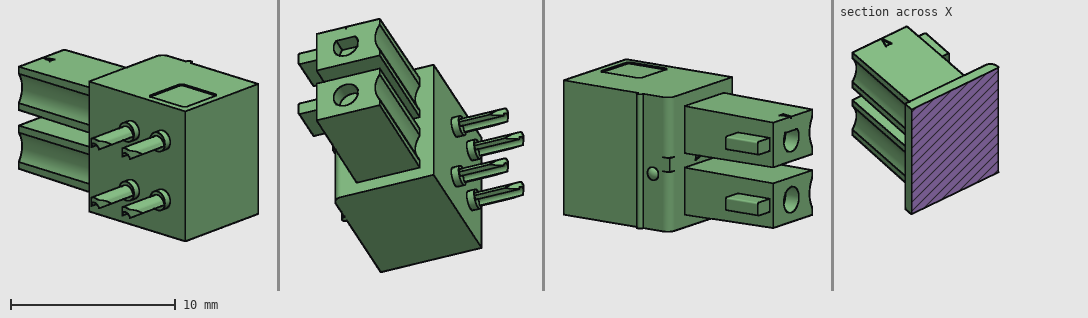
import cadquery as cq
import math


PITCH = 3.81
HOUSING_LENGTH = 7.9
HOUSING_DEPTH = 6.6
HOUSING_HEIGHT = PITCH + 4.6
FRONT_EDGE_RADIUS = 0.5
SQUARE_EDGE_HEIGHT = 0.88

RIB_X = 2.15
RIB_RADIUS = 0.2
BACK_PROJECTION = 0.25
DOME_X = 1.24
DOME_Z = -0.69
DOME_CHORD = 0.82

RECESS_SIZE = 3.0
RECESS_X = 5.9
RECESS_Y = 2.0
RECESS_CORNER = 0.25
ENGRAVING_DEPTH = 0.1

PLUG_LENGTH = 6.6
PLUG_Y_MIN = 0.9
PLUG_Y_MAX = 5.03
PLUG_TIP_INNER_Z = 0.5
PLUG_TIP_OUTER_Z = 3.3
INNER_DRAFT = 0.05
OUTER_DRAFT = 0.1
GROOVE_WIDTH = 1.9
GROOVE_DEPTH = 0.3
HOLE_DIAMETER = 1.6
HOLE_Y = 3.12
HOLE_DEPTH = 1.0
HOLE_FLAT_HEIGHT = 0.5

TAB_SETBACK = 0.24
TAB_LENGTH = 2.38
TAB_THICKNESS = 0.82
TAB_Y_MAX = 6.31
TAB_CORNER = 0.12

ARROW_LENGTH = 0.74
ARROW_WIDTH = 0.43

PINS_PER_ROW = 2
FIRST_PIN_X = 3.51
PIN_SPACING = 2.54
PIN_LENGTH = 3.4
COLLAR_DIAMETER = 1.22
COLLAR_LENGTH = 0.47
PIN_HALF_WIDTH = 0.56
PIN_CROWN_Z = 0.38
PIN_SHOULDER_HALF_WIDTH = 0.45
PIN_SHOULDER_Z = 0.12
PIN_FLANK_Z = -0.13
PIN_FOOT_Z = -0.27
PIN_FOOT_HALF_WIDTH = 0.31
PIN_INNER_CROWN_Z = 0.06
PIN_TAPER_LENGTH = 0.97
PIN_TIP_HALF_WIDTH = 0.3
PIN_TIP_RADIUS = 0.2

UPPER = 1
LOWER = -1
SIDES = (UPPER, LOWER)


def box(x_min, x_max, y_min, y_max, z_min, z_max):
    """Axis-aligned box between two opposite corners."""
    size = (x_max - x_min, y_max - y_min, z_max - z_min)
    return cq.Workplane("XY").box(*size, centered=False).translate((x_min, y_min, z_min))


def make_housing():
    """Block whose edge between the front and back (+Y) faces is rounded but for its middle."""
    half_height = HOUSING_HEIGHT / 2
    block = box(0, HOUSING_LENGTH, 0, HOUSING_DEPTH, -half_height, half_height)
    rounded = block.edges("<X and >Y").fillet(FRONT_EDGE_RADIUS)
    corner = box(
        0, FRONT_EDGE_RADIUS,
        HOUSING_DEPTH - FRONT_EDGE_RADIUS, HOUSING_DEPTH,
        -SQUARE_EDGE_HEIGHT / 2, SQUARE_EDGE_HEIGHT / 2,
    )
    return rounded.union(corner)


def make_rib():
    """Round-topped rib running the full height of the back face."""
    base_y = HOUSING_DEPTH - RIB_RADIUS
    crown_y = HOUSING_DEPTH + BACK_PROJECTION
    spring_y = crown_y - RIB_RADIUS
    return (
        cq.Workplane("XY", origin=(0, 0, -HOUSING_HEIGHT / 2))
        .moveTo(RIB_X - RIB_RADIUS, base_y)
        .lineTo(RIB_X - RIB_RADIUS, spring_y)
        .threePointArc((RIB_X, crown_y), (RIB_X + RIB_RADIUS, spring_y))
        .lineTo(RIB_X + RIB_RADIUS, base_y)
        .close()
        .extrude(HOUSING_HEIGHT)
    )


def make_dome():
    """Spherical button on the back face; the rest of the ball lies inside the housing."""
    radius = ((DOME_CHORD / 2) ** 2 + BACK_PROJECTION ** 2) / (2 * BACK_PROJECTION)
    center_y = HOUSING_DEPTH + BACK_PROJECTION - radius
    return cq.Workplane("XY").sphere(radius).translate((DOME_X, center_y, DOME_Z))


def make_top_recess():
    """Rounded-square recess in the top face."""
    return (
        cq.Workplane("XY", origin=(RECESS_X, RECESS_Y, HOUSING_HEIGHT / 2 - ENGRAVING_DEPTH))
        .rect(RECESS_SIZE, RECESS_SIZE)
        .extrude(ENGRAVING_DEPTH)
        .edges("|Z")
        .fillet(RECESS_CORNER)
    )


def make_plug_body(side):
    """Rectangular plug that thickens slightly towards the housing."""
    return (
        cq.Workplane("XZ", origin=(0, PLUG_Y_MAX, 0))
        .moveTo(-PLUG_LENGTH, side * PLUG_TIP_INNER_Z)
        .lineTo(0, side * (PLUG_TIP_INNER_Z - INNER_DRAFT))
        .lineTo(0, side * (PLUG_TIP_OUTER_Z + OUTER_DRAFT))
        .lineTo(-PLUG_LENGTH, side * PLUG_TIP_OUTER_Z)
        .close()
        .extrude(PLUG_Y_MAX - PLUG_Y_MIN)
    )


def make_groove(center_z):
    """Shallow round-bottomed groove along the pin side of a plug."""
    return (
        cq.Workplane("YZ", origin=(-PLUG_LENGTH, 0, 0))
        .moveTo(PLUG_Y_MIN, center_z - GROOVE_WIDTH / 2)
        .threePointArc(
            (PLUG_Y_MIN + GROOVE_DEPTH, center_z),
            (PLUG_Y_MIN, center_z + GROOVE_WIDTH / 2),
        )
        .close()
        .extrude(PLUG_LENGTH)
    )


def make_tab(center_z):
    """Coding tab with rounded outer edges; its root lies inside the plug."""
    tab_x = TAB_SETBACK - PLUG_LENGTH
    tab = box(
        tab_x, tab_x + TAB_LENGTH,
        HOLE_Y, TAB_Y_MAX,
        center_z - TAB_THICKNESS / 2, center_z + TAB_THICKNESS / 2,
    )
    return tab.edges("|X and >Y").fillet(TAB_CORNER)


def make_contact_hole(center_z, has_flat):
    """Blind contact hole in the plug tip, D-shaped with the flat on top if asked for."""
    radius = HOLE_DIAMETER / 2
    hole = (
        cq.Workplane("YZ", origin=(-PLUG_LENGTH, HOLE_Y, center_z))
        .circle(radius)
        .extrude(HOLE_DEPTH)
    )
    if has_flat:
        cap = box(
            -PLUG_LENGTH, HOLE_DEPTH - PLUG_LENGTH,
            HOLE_Y - radius, HOLE_Y + radius,
            center_z + HOLE_FLAT_HEIGHT, center_z + radius,
        )
        hole = hole.cut(cap)
    return hole


def make_plug(side):
    """Complete upper or lower plug; only the upper one has a D-shaped hole."""
    center_z = side * PITCH / 2
    plug = make_plug_body(side).union(make_tab(center_z))
    return plug.cut(make_groove(center_z)).cut(make_contact_hole(center_z, side == UPPER))


def make_plug_arrow():
    """Triangular mark in the sloping top of the upper plug, pointing to the plug tip."""
    slope = math.degrees(math.atan2(OUTER_DRAFT, PLUG_LENGTH))
    return (
        cq.Workplane("XY")
        .polyline([(0, 0), (ARROW_LENGTH, -ARROW_WIDTH / 2), (ARROW_LENGTH, ARROW_WIDTH / 2)])
        .close()
        .extrude(ENGRAVING_DEPTH, both=True)
        .rotate((0, 0, 0), (0, 1, 0), -slope)
        .translate((-PLUG_LENGTH, HOLE_Y, PLUG_TIP_OUTER_Z))
    )


def make_housing_arrow():
    """Triangular mark in the housing front between the plugs, pointing to the pin side."""
    base_y = HOLE_Y + ARROW_LENGTH
    return (
        cq.Workplane("YZ")
        .polyline([(HOLE_Y, 0), (base_y, -ARROW_WIDTH / 2), (base_y, ARROW_WIDTH / 2)])
        .close()
        .extrude(ENGRAVING_DEPTH)
    )


def make_pin():
    """Round collar and arch-section blade with a tapered tip, on the axis X = Z = 0."""
    collar = cq.Workplane("XZ").circle(COLLAR_DIAMETER / 2).extrude(COLLAR_LENGTH)

    blade = (
        cq.Workplane("XZ")
        .moveTo(-PIN_SHOULDER_HALF_WIDTH, PIN_SHOULDER_Z)
        .threePointArc((0, PIN_CROWN_Z), (PIN_SHOULDER_HALF_WIDTH, PIN_SHOULDER_Z))
        .lineTo(PIN_HALF_WIDTH, PIN_FLANK_Z)
        .lineTo(PIN_FOOT_HALF_WIDTH, PIN_FOOT_Z)
        .threePointArc((0, PIN_INNER_CROWN_Z), (-PIN_FOOT_HALF_WIDTH, PIN_FOOT_Z))
        .lineTo(-PIN_HALF_WIDTH, PIN_FLANK_Z)
        .close()
        .extrude(PIN_LENGTH)
    )

    taper_y = PIN_TAPER_LENGTH - PIN_LENGTH
    tip_outline = (
        cq.Workplane("XY")
        .polyline([
            (-PIN_HALF_WIDTH, 0),
            (-PIN_HALF_WIDTH, taper_y),
            (-PIN_TIP_HALF_WIDTH, -PIN_LENGTH),
            (PIN_TIP_HALF_WIDTH, -PIN_LENGTH),
            (PIN_HALF_WIDTH, taper_y),
            (PIN_HALF_WIDTH, 0),
        ])
        .close()
        .extrude(COLLAR_DIAMETER, both=True)
        .edges("|Z and <Y")
        .fillet(PIN_TIP_RADIUS)
    )
    return collar.union(blade.intersect(tip_outline))


def make_connector():
    connector = make_housing().union(make_rib()).union(make_dome())
    pin = make_pin()
    for side in SIDES:
        connector = connector.union(make_plug(side))
        for column in range(PINS_PER_ROW):
            pin_x = FIRST_PIN_X + column * PIN_SPACING
            connector = connector.union(pin.translate((pin_x, 0, side * PITCH / 2)))
    for engraving in (make_top_recess(), make_plug_arrow(), make_housing_arrow()):
        connector = connector.cut(engraving)
    return connector


result = make_connector()